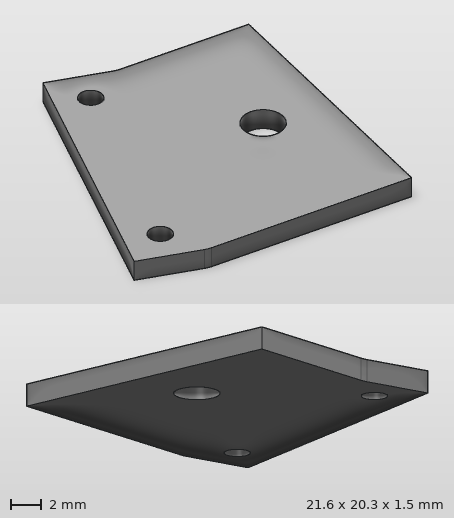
import math

import cadquery as cq

thickness = 1.5
tilt = math.radians(15)
lower_edge_length = 21.0
tab_side_length = 5.0
left_side_height = 10.0
bend_radius = 2.0

pivot_diameter = 3.0
pivot_from_left = 10.0
pivot_from_top = 5.0

screw_diameter = 1.7
screw_inset = 2.5


def tab_point(along, above):
    """Point of the tilted tab, measured from its lower left corner."""
    x = tab_left_x + along * math.cos(tilt) + above * math.sin(tilt)
    y = tab_left_y - along * math.sin(tilt) + above * math.cos(tilt)
    return x, y


tab_left_x = -tab_side_length * math.sin(tilt)
tab_left_y = -left_side_height - tab_side_length * math.cos(tilt)
left_bend = tab_point(0, tab_side_length)
right_bend = tab_point(lower_edge_length, tab_side_length)


def make_plate():
    outline = [
        (0, 0),
        left_bend,
        tab_point(0, 0),
        tab_point(lower_edge_length, 0),
        right_bend,
        (right_bend[0], 0),
    ]
    plate = cq.Workplane("XY").polyline(outline).close().extrude(thickness)
    for x, y in (left_bend, right_bend):
        bend_edge = cq.selectors.NearestToPointSelector((x, y, thickness / 2))
        plate = plate.edges("|Z").edges(bend_edge).fillet(bend_radius)
    return plate


def make_holes(centers, diameter):
    return cq.Workplane("XY").pushPoints(centers).circle(diameter / 2).extrude(thickness)


pivot_center = (pivot_from_left, -pivot_from_top)
screw_centers = [
    tab_point(along, screw_inset)
    for along in (screw_inset, lower_edge_length - screw_inset)
]

result = (
    make_plate()
    .cut(make_holes([pivot_center], pivot_diameter))
    .cut(make_holes(screw_centers, screw_diameter))
)